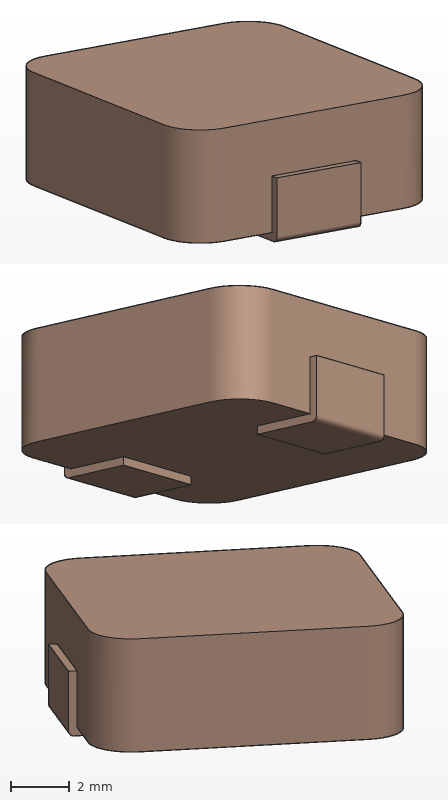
import cadquery as cq

overall_length = 11.5
body_width = 10.3
overall_height = 4.3

terminal_thickness = 0.3
terminal_width = 3.45
terminal_height = 2.3
foot_length = 2.7
bend_radius = 0.2

body_length = overall_length - 2 * terminal_thickness
body_height = overall_height - terminal_thickness
corner_radius = 1.5


def make_body():
    """Rectangular block with rounded vertical edges."""
    return (
        cq.Workplane("XY", origin=(0, 0, terminal_thickness))
        .rect(body_length, body_width)
        .extrude(body_height)
        .edges("|Z")
        .fillet(corner_radius)
    )


def make_terminal(side):
    """L-shaped terminal on the -X (side = -1) or +X (side = 1) end."""
    outer_x = side * overall_length / 2
    inner_x = side * body_length / 2
    foot_end_x = side * (overall_length / 2 - foot_length)
    profile = [
        (outer_x, 0),
        (outer_x, terminal_height),
        (inner_x, terminal_height),
        (inner_x, terminal_thickness),
        (foot_end_x, terminal_thickness),
        (foot_end_x, 0),
    ]
    outer_bend = cq.selectors.NearestToPointSelector((outer_x, 0, 0))
    return (
        cq.Workplane("XZ")
        .polyline(profile)
        .close()
        .extrude(terminal_width / 2, both=True)
        .edges(outer_bend)
        .fillet(bend_radius)
    )


body = make_body()
terminals = [make_terminal(side) for side in (-1, 1)]

result = cq.Compound.makeCompound([body.val(), *[terminal.val() for terminal in terminals]])